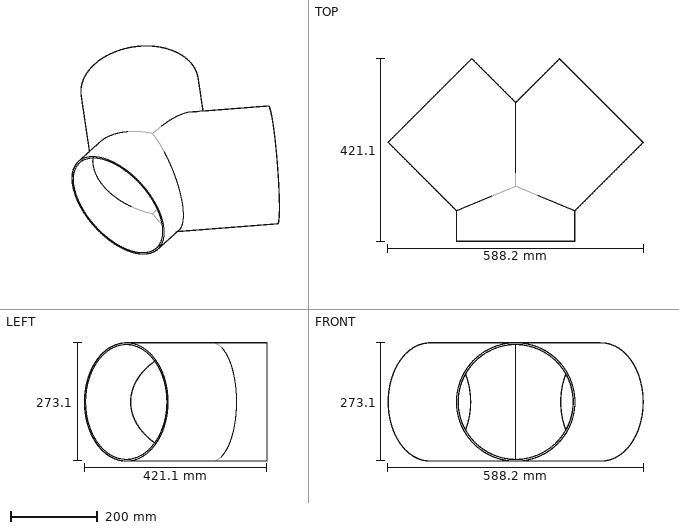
import cadquery as cq

OUTER_DIAMETER = 273.05
BORE_DIAMETER = 264.67
INLET_LENGTH = 127.0
BRANCH_LENGTH = 279.4
BRANCH_ANGLE = 45.0

LEGS = [
    (180.0, INLET_LENGTH),
    (BRANCH_ANGLE, BRANCH_LENGTH),
    (-BRANCH_ANGLE, BRANCH_LENGTH),
]


def leg_cylinder(diameter, angle, length):
    """Solid cylinder from the junction centre outwards along one leg axis."""
    along_y = cq.Workplane("XZ").circle(diameter / 2).extrude(-length)
    return along_y.rotate((0, 0, 0), (0, 0, 1), -angle)


def wye(diameter):
    """Three equal cylinders merged; they meet along flat mitre planes."""
    body = cq.Workplane("XY")
    for angle, length in LEGS:
        body = body.union(leg_cylinder(diameter, angle, length))
    return body


result = wye(OUTER_DIAMETER).cut(wye(BORE_DIAMETER))